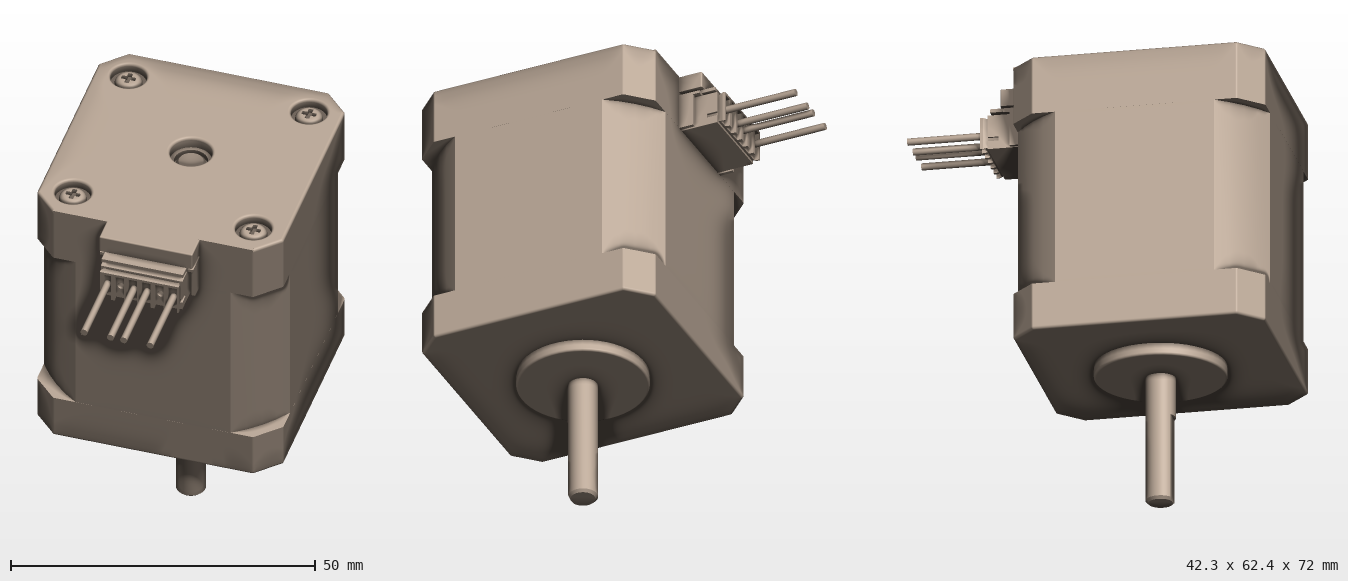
import cadquery as cq
import math


BODY_WIDTH = 42.32
HALF_WIDTH = BODY_WIDTH / 2
BODY_HEIGHT = 48.0
FRONT_CAP_HEIGHT = 8.0
REAR_CAP_HEIGHT = 10.0
REAR_CAP_BOTTOM = BODY_HEIGHT - REAR_CAP_HEIGHT
CAP_CORNER = 4.0
CAP_FILLET = 0.5
STATOR_WIDTH = 42.3
STATOR_DIAMETER = 50.0

BOSS_DIAMETER = 22.0
BOSS_HEIGHT = 2.0
BOSS_FILLET = 0.4
SHAFT_DIAMETER = 5.0
SHAFT_END_Z = -24.0
SHAFT_CHAMFER = 0.45
FLAT_LENGTH = 15.0
FLAT_DEPTH = 0.5

BEARING_OPENING_DIAMETER = 7.0
BEARING_OPENING_DEPTH = 2.0
SHAFT_GAP_DIAMETER = 5.65
SHAFT_GAP_DEPTH = 1.0
OPENING_FILLET = 0.5

SCREW_SPACING = 31.0
SCREW_HOLE_DIAMETER = 6.0
SCREW_HOLE_DEPTH = 1.6
SCREW_HEAD_DIAMETER = 4.6
SCREW_HEAD_HEIGHT = 1.1
SCREW_HEAD_FILLET = 1.05
CROSS_LENGTH = SCREW_HEAD_DIAMETER - 2 * SCREW_HEAD_FILLET
CROSS_WIDTH = 0.8
CROSS_DEPTH = 0.8

WALL_Y = -HALF_WIDTH
HOOD_WIDTH = 16.0
HOOD_REACH = 4.1
HOOD_HEIGHT = 3.0
HOOD_BOTTOM = BODY_HEIGHT - HOOD_HEIGHT
HOOD_FILLET = 0.25
PLATE_WIDTH = 14.0
PLATE_REACH = 6.0
PLATE_THICKNESS = 0.6
CANOPY_REACH = 3.65
CANOPY_THICKNESS = 0.5
CANOPY_TOP = HOOD_BOTTOM - PLATE_THICKNESS
FRAME_REACH = 2.5
FRAME_OPENING_WIDTH = 14.75

PLUG_WIDTH = PLATE_WIDTH
PLUG_REACH = 6.4
PLUG_TOP = CANOPY_TOP - CANOPY_THICKNESS
FLANGE_MARGIN = 0.2
FLANGE_WIDTH = 13.5
FLANGE_HEIGHT = PLUG_TOP - REAR_CAP_BOTTOM - 2 * FLANGE_MARGIN
FLANGE_MIDDLE_Z = (PLUG_TOP + REAR_CAP_BOTTOM) / 2
FLANGE_REACH = 7.75
FLANGE_THICKNESS = 0.5
NECK_INSET = 0.25
SIDE_GROOVE_LENGTH = 1.85
SIDE_GROOVE_BOTTOM = 39.4
SIDE_GROOVE_HEIGHT = 0.7
SIDE_GROOVE_DEPTH = 0.4

SLOT_COUNT = 6
SLOT_PITCH = 2.27
SLOT_WIDTH = 1.6
SLOT_TOP = 43.25
SLOT_DEPTH = 0.9
WIRE_DIAMETER = 1.2
WIRE_Z = 40.85
WIRE_END_Y = -41.24
WIRED_SLOTS = (0, 2, 3, 5)
EMPTY_HOLE_DEPTH = 2.0


def cylinder(diameter, z_bottom, z_top):
    """Cylinder on the motor axis between two levels."""
    disc = cq.Workplane("XY").workplane(offset=z_bottom).circle(diameter / 2)
    return disc.extrude(z_top - z_bottom)


def wall_box(width, reach, z_bottom, z_top):
    """Box centred on X that stands out from the -Y wall by the given reach."""
    box = cq.Workplane("XY").box(width, reach, z_top - z_bottom, centered=(True, False, False))
    return box.translate((0, WALL_Y - reach, z_bottom))


def cap_block(z_bottom, height):
    """Square end cap with bevelled corners and rounded upright edges."""
    block = cq.Workplane("XY").box(BODY_WIDTH, BODY_WIDTH, height, centered=(True, True, False))
    block = block.edges("|Z").chamfer(CAP_CORNER)
    return block.edges("|Z").fillet(CAP_FILLET).translate((0, 0, z_bottom))


def make_front_cap():
    return cap_block(0, FRONT_CAP_HEIGHT).faces("<Z").edges().fillet(CAP_FILLET)


def make_rear_cap():
    """Rear cap whose top rim is rounded except along the connector side."""
    cap = cap_block(REAR_CAP_BOTTOM, REAR_CAP_HEIGHT).faces(">Z").edges().fillet(CAP_FILLET)
    sharp_length = BODY_WIDTH - 2 * CAP_CORNER
    sharp_rim = wall_box(sharp_length, CAP_FILLET, BODY_HEIGHT - CAP_FILLET, BODY_HEIGHT)
    return cap.union(sharp_rim.translate((0, CAP_FILLET, 0)))


def make_stator():
    """Square stator stack with its corners turned to a common circle."""
    stack_height = REAR_CAP_BOTTOM - FRONT_CAP_HEIGHT
    square = cq.Workplane("XY").box(STATOR_WIDTH, STATOR_WIDTH, stack_height, centered=(True, True, False))
    square = square.translate((0, 0, FRONT_CAP_HEIGHT))
    return square.intersect(cylinder(STATOR_DIAMETER, FRONT_CAP_HEIGHT, REAR_CAP_BOTTOM))


def make_boss():
    return cylinder(BOSS_DIAMETER, -BOSS_HEIGHT, 0).faces("<Z").edges().fillet(BOSS_FILLET)


def make_shaft():
    """Output shaft with a flat on its +Y side at the free end."""
    shaft = cylinder(SHAFT_DIAMETER, SHAFT_END_Z, 0).faces("<Z").edges().chamfer(SHAFT_CHAMFER)
    flat = cq.Workplane("XY").box(
        SHAFT_DIAMETER, SHAFT_DIAMETER, FLAT_LENGTH, centered=(True, False, False)
    )
    flat_y = SHAFT_DIAMETER / 2 - FLAT_DEPTH
    return shaft.cut(flat.translate((0, flat_y, SHAFT_END_Z)))


def rounded_opening(diameter, depth):
    """Cutter for a blind opening in the rear face with a rounded rim."""
    radius = diameter / 2
    rim_radius = radius + OPENING_FILLET
    arc_offset = OPENING_FILLET * (1 - math.sqrt(0.5))
    profile = (
        cq.Workplane("XZ")
        .moveTo(0, -depth)
        .lineTo(radius, -depth)
        .lineTo(radius, -OPENING_FILLET)
        .threePointArc((radius + arc_offset, -arc_offset), (rim_radius, 0))
        .lineTo(0, 0)
        .close()
    )
    return profile.revolve(360, (0, 0, 0), (0, 1, 0)).translate((0, 0, BODY_HEIGHT))


def cut_bearing_opening(body):
    """Rear opening that shows the chamfered shaft end inside a ring gap."""
    floor_z = BODY_HEIGHT - BEARING_OPENING_DEPTH
    gap_bottom = floor_z - SHAFT_GAP_DEPTH
    shaft_end = cylinder(SHAFT_DIAMETER, gap_bottom, floor_z).faces(">Z").edges().chamfer(SHAFT_CHAMFER)
    gap = cylinder(SHAFT_GAP_DIAMETER, gap_bottom, floor_z).cut(shaft_end)
    return body.cut(rounded_opening(BEARING_OPENING_DIAMETER, BEARING_OPENING_DEPTH)).cut(gap)


def make_screw_head():
    """Domed screw head with a cross recess, seated on its opening floor."""
    seat_z = BODY_HEIGHT - SCREW_HOLE_DEPTH
    head_top = seat_z + SCREW_HEAD_HEIGHT
    head = cylinder(SCREW_HEAD_DIAMETER, seat_z, head_top).faces(">Z").edges().fillet(SCREW_HEAD_FILLET)
    arm = cq.Workplane("XY").box(CROSS_LENGTH, CROSS_WIDTH, CROSS_DEPTH, centered=(True, True, False))
    cross = arm.union(arm.rotate((0, 0, 0), (0, 0, 1), 90)).translate((0, 0, head_top - CROSS_DEPTH))
    recess = cross.intersect(cylinder(CROSS_LENGTH, seat_z, head_top))
    return head.cut(recess)


def add_cover_screws(body):
    opening = rounded_opening(SCREW_HOLE_DIAMETER, SCREW_HOLE_DEPTH)
    head = make_screw_head()
    half_spacing = SCREW_SPACING / 2
    for x in (-half_spacing, half_spacing):
        for y in (-half_spacing, half_spacing):
            body = body.cut(opening.translate((x, y, 0)))
            body = body.union(head.translate((x, y, 0)))
    return body


def make_hood():
    """Hood over the connector, flush with the rear face, with a plate and a frame below it."""
    hood = wall_box(HOOD_WIDTH, HOOD_REACH, HOOD_BOTTOM, BODY_HEIGHT)
    hood = hood.edges("|Z and <Y").fillet(HOOD_FILLET)
    hood = hood.faces(">Z").edges("not >Y").fillet(HOOD_FILLET)
    plate = wall_box(PLATE_WIDTH, PLATE_REACH, CANOPY_TOP, HOOD_BOTTOM)
    canopy = wall_box(HOOD_WIDTH, CANOPY_REACH, PLUG_TOP, CANOPY_TOP)
    frame = wall_box(HOOD_WIDTH, FRAME_REACH, REAR_CAP_BOTTOM, PLUG_TOP)
    frame = frame.cut(wall_box(FRAME_OPENING_WIDTH, FRAME_REACH, REAR_CAP_BOTTOM, PLUG_TOP))
    return hood.union(plate).union(canopy).union(frame)


def make_plug():
    """Plug body with a flaring neck and a front flange."""
    plug = wall_box(PLUG_WIDTH, PLUG_REACH, REAR_CAP_BOTTOM, PLUG_TOP)
    groove = cq.Workplane("XY").box(
        SIDE_GROOVE_DEPTH, SIDE_GROOVE_LENGTH, SIDE_GROOVE_HEIGHT, centered=(True, False, False)
    )
    groove_x = (PLUG_WIDTH - SIDE_GROOVE_DEPTH) / 2
    for side in (-1, 1):
        plug = plug.cut(groove.translate((side * groove_x, WALL_Y - PLUG_REACH, SIDE_GROOVE_BOTTOM)))

    neck_length = FLANGE_REACH - FLANGE_THICKNESS - PLUG_REACH
    neck = (
        cq.Workplane("XZ", origin=(0, WALL_Y - PLUG_REACH, FLANGE_MIDDLE_Z))
        .rect(FLANGE_WIDTH - 2 * NECK_INSET, FLANGE_HEIGHT - 2 * NECK_INSET)
        .workplane(offset=neck_length)
        .rect(FLANGE_WIDTH, FLANGE_HEIGHT)
        .loft(ruled=True)
    )
    flange = cq.Workplane("XZ", origin=(0, WALL_Y - FLANGE_REACH + FLANGE_THICKNESS, FLANGE_MIDDLE_Z))
    flange = flange.rect(FLANGE_WIDTH, FLANGE_HEIGHT).extrude(FLANGE_THICKNESS)
    return plug.union(neck).union(flange)


def add_terminals(plug):
    """Row of slots open at the bottom, each with a wire or an empty wire hole."""
    slot_back_y = WALL_Y - FLANGE_REACH + SLOT_DEPTH
    slot = cq.Workplane("XY").box(
        SLOT_WIDTH, SLOT_DEPTH, SLOT_TOP - REAR_CAP_BOTTOM, centered=(True, False, False)
    )
    slot = slot.translate((0, slot_back_y - SLOT_DEPTH, REAR_CAP_BOTTOM))
    slot_back = cq.Workplane("XZ", origin=(0, slot_back_y, WIRE_Z))
    wire = slot_back.circle(WIRE_DIAMETER / 2).extrude(slot_back_y - WIRE_END_Y)
    empty_hole = slot_back.circle(WIRE_DIAMETER / 2).extrude(-EMPTY_HOLE_DEPTH)
    for index in range(SLOT_COUNT):
        x = (index - (SLOT_COUNT - 1) / 2) * SLOT_PITCH
        plug = plug.cut(slot.translate((x, 0, 0)))
        if index in WIRED_SLOTS:
            plug = plug.union(wire.translate((x, 0, 0)))
        else:
            plug = plug.cut(empty_hole.translate((x, 0, 0)))
    return plug


motor = make_front_cap().union(make_stator()).union(make_rear_cap())
motor = motor.union(make_boss()).union(make_shaft())
motor = cut_bearing_opening(motor)
motor = add_cover_screws(motor)
result = motor.union(make_hood()).union(add_terminals(make_plug()))